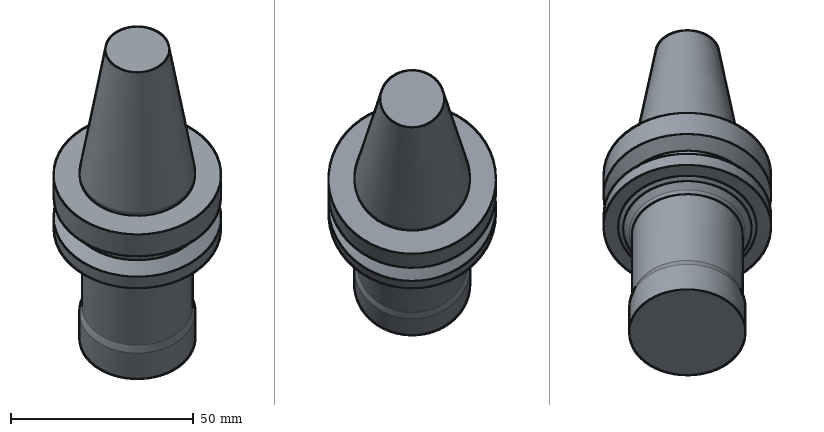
import cadquery as cq

total_height = 113.4

taper_tip_diameter = 17.6
gauge_diameter = 31.8
gauge_band_height = 1.0

flange_diameter = 46.0
groove_diameter = 38.0
flange_top = 64.2
upper_rim_bottom = 55.6
groove_top = 53.2
groove_bottom = 49.9
lower_rim_top = 47.5
flange_bottom = 43.0

neck_diameter = 30.5

flare_bottom = 39.6
flare_lower_edge = 40.6
flare_upper_edge = 42.3
flare_lower_diameter = 31.9
flare_upper_diameter = 35.3
flare_top_diameter = 38.0

collar_diameter = 32.0
collar_top = 10.2
collar_shoulder_top = 12.6

taper_tip_radius = taper_tip_diameter / 2
gauge_radius = gauge_diameter / 2
flange_radius = flange_diameter / 2
groove_radius = groove_diameter / 2
neck_radius = neck_diameter / 2
collar_radius = collar_diameter / 2

nose_profile = [
    (0, 0),
    (collar_radius, 0),
    (collar_radius, collar_top),
    (neck_radius, collar_shoulder_top),
]
flare_profile = [
    (neck_radius, flare_bottom),
    (flare_lower_diameter / 2, flare_lower_edge),
    (flare_upper_diameter / 2, flare_upper_edge),
    (flare_top_diameter / 2, flange_bottom),
]
flange_profile = [
    (flange_radius, flange_bottom),
    (flange_radius, lower_rim_top),
    (groove_radius, groove_bottom),
    (groove_radius, groove_top),
    (flange_radius, upper_rim_bottom),
    (flange_radius, flange_top),
]
taper_profile = [
    (gauge_radius, flange_top),
    (gauge_radius, flange_top + gauge_band_height),
    (taper_tip_radius, total_height),
    (0, total_height),
]

result = (
    cq.Workplane("XZ")
    .polyline(nose_profile + flare_profile + flange_profile + taper_profile)
    .close()
    .revolve(360, (0, 0, 0), (0, 1, 0))
)